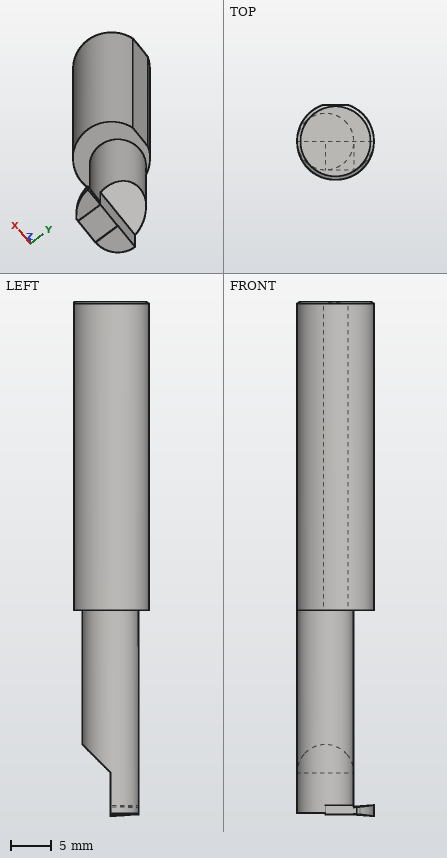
import cadquery as cq

total_length = 63.5
shank_radius = 4.75
flat_distance = 4.5
shoulder_z = 25.4
chamfer_radial = 0.45
chamfer_height = 0.25

neck_radius = 3.5
neck_center_x = neck_radius - shank_radius
neck_bottom_z = 0.4

relief_straight_top_z = 5.4

web_bottom_z = 0.2
web_top_z = 1.35
tooth_root_x = 2.2
tooth_root_bottom_z = 0.2
tooth_root_top_z = 1.2
tooth_tip_top_z = 1.4
tooth_clearance = 0.1
heel_start_x = 2.6
heel_end_x = 3.0
heel_end_y = -3.2
flank_mid_x = 4.25
flank_mid_y = -1.65


def make_shank():
    shank = (
        cq.Workplane("XY")
        .workplane(offset=shoulder_z)
        .circle(shank_radius)
        .extrude(total_length - shoulder_z)
        .faces(">Z")
        .chamfer(chamfer_height, chamfer_radial)
    )
    width = 2 * shank_radius
    beyond_flat = cq.Workplane("XY").box(
        width, width, total_length, centered=(True, False, False)
    ).translate((0, flat_distance, 0))
    return shank.cut(beyond_flat)


def make_neck():
    neck = (
        cq.Workplane("XY")
        .workplane(offset=neck_bottom_z)
        .center(neck_center_x, 0)
        .circle(neck_radius)
        .extrude(shoulder_z - neck_bottom_z)
    )
    relief = (
        cq.Workplane("YZ")
        .polyline([
            (0, 0),
            (0, relief_straight_top_z),
            (neck_radius, relief_straight_top_z + neck_radius),
            (neck_radius, 0),
        ])
        .close()
        .extrude(shank_radius, both=True)
    )
    return neck.cut(relief)


def make_web():
    """Flat plate joining the neck to the tooth."""
    return (
        cq.Workplane("XY")
        .workplane(offset=web_bottom_z)
        .moveTo(neck_center_x, 0)
        .lineTo(neck_center_x, -neck_radius)
        .lineTo(tooth_root_x, -neck_radius)
        .lineTo(tooth_root_x, 0)
        .close()
        .extrude(web_top_z - web_bottom_z)
    )


def make_tooth():
    """Curved-flank tooth that narrows from the rake face to its heel."""
    plan = (
        cq.Workplane("XY")
        .moveTo(tooth_root_x, 0)
        .lineTo(tooth_root_x, -neck_radius)
        .lineTo(heel_start_x, -neck_radius)
        .lineTo(heel_end_x, heel_end_y)
        .threePointArc((flank_mid_x, flank_mid_y), (shank_radius, 0))
        .close()
        .extrude(tooth_tip_top_z)
    )
    wedge = (
        cq.Workplane("XZ")
        .polyline([
            (tooth_root_x, tooth_root_bottom_z),
            (tooth_root_x, tooth_root_top_z),
            (shank_radius, tooth_tip_top_z),
            (shank_radius, 0),
        ])
        .close()
        .workplane(offset=neck_radius)
        .polyline([
            (tooth_root_x, tooth_root_bottom_z + tooth_clearance),
            (tooth_root_x, tooth_root_top_z - tooth_clearance),
            (shank_radius, tooth_tip_top_z - tooth_clearance),
            (shank_radius, tooth_clearance),
        ])
        .close()
        .loft(ruled=True)
    )
    return plan.intersect(wedge)


result = make_shank().union(make_neck()).union(make_web()).union(make_tooth())